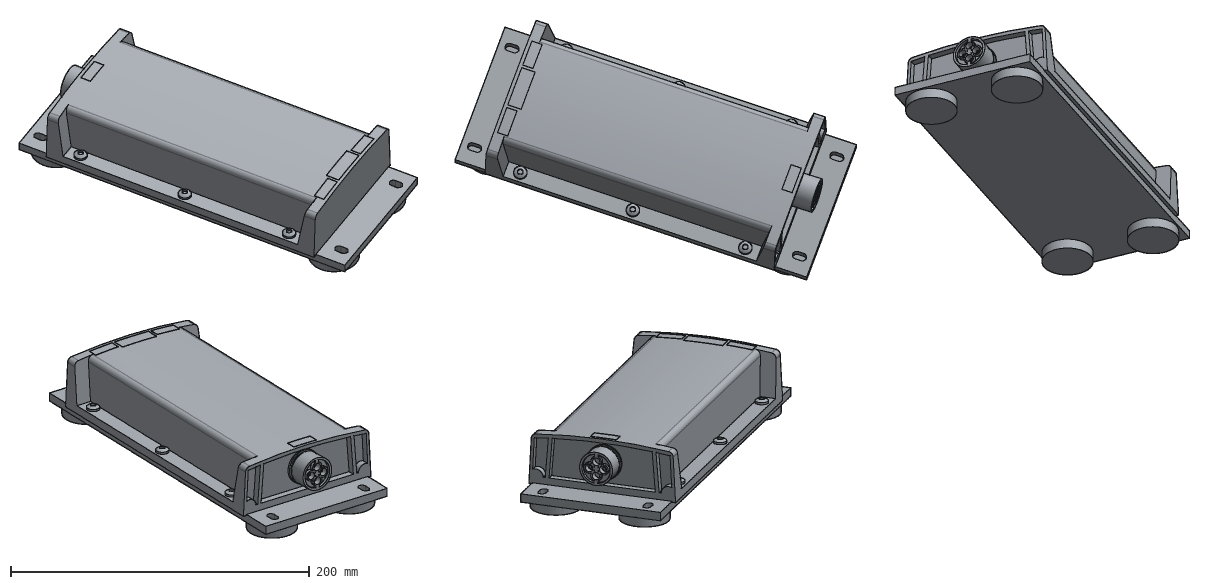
import cadquery as cq
import math

draft = 3.0
rib_draft = 4.5

plate_length = 250.0
plate_width = 100.0
plate_thickness = 6.0

foot_diameter = 34.5
foot_height = 7.0
foot_spacing_x = 213.0
foot_spacing_y = 63.5

slot_length = 9.5
slot_width = 5.5
slot_spacing_x = 231.0
slot_spacing_y = 75.0

body_length = 205.5
body_width = 105.0
total_height = 51.0
skirt_overlap = 0.8
flange_height = 5.8
crown_radius = 425.0
body_corner_radius = 3.8

core_width = 82.0
core_corner_radius = 4.2
end_wall_foot = 12.8
notch_draft = 9.3

pocket_depth = 5.0
pocket_top_wall = 2.8
pocket_side_wall = 2.5
middle_pocket_width = 76.0
side_pocket_inner = 40.8
corner_boss_radius = 5.2
corner_boss_y = 47.5

screw_pitch = 80.0
screw_row_y = 46.0
screw_head_diameter = 9.0
screw_rim_height = 1.5
screw_head_height = 3.2
screw_socket_diameter = 3.8
screw_socket_depth = 1.8

connector_diameter = 23.5
connector_height = 33.2
connector_reach = 11.8
connector_tilt = 2.5
collar_diameter = 24.5
collar_length = 1.8
groove_diameter = 22.0
groove_width = 1.2
mouth_diameter = 20.2
mouth_depth = 2.5
contact_circle_radius = 5.0
contact_sleeve_diameter = 7.5
contact_bore_diameter = 5.2
contact_bore_depth = 5.0
pin_diameter = 2.0
pin_recess = 2.5
key_width = 2.8

window_depth = 0.2
window_end_gap = 2.5
window_length = 7.2
window_width = 18.5
middle_window_length = 9.5
middle_window_width = 28.0
window_spacing_y = 50.5

plate_top = foot_height + plate_thickness
body_bottom = plate_top - skirt_overlap
ledge = body_bottom + flange_height
half_length = body_length / 2
clearance = 12.5


def taper(rise, angle):
    """Sideways shift of a wall sloped by angle over a rise."""
    return rise * math.tan(math.radians(angle))


def prism_x(points, x_start, length):
    """Extrude a closed (y, z) outline along +X."""
    return cq.Workplane("YZ", origin=(x_start, 0, 0)).polyline(points).close().extrude(length)


def cylinder_x(x_start, length, diameter, y=0.0, z=0.0):
    return cq.Workplane("YZ", origin=(x_start, y, z)).circle(diameter / 2).extrude(length)


def crown_cylinder(lowered=0.0):
    """Large cylinder along X whose top is the curved roof, optionally lowered."""
    radius = crown_radius - lowered
    return cylinder_x(-plate_length, 2 * plate_length, 2 * radius, z=total_height - crown_radius)


def crowned_block(width, length, bottom, corner_radius):
    """Tapered block under the curved roof, given its width at the bottom level."""
    top = total_height + clearance
    half = width / 2
    half_top = half - taper(top - bottom, draft)
    outline = [(-half, bottom), (half, bottom), (half_top, top), (-half_top, top)]
    block = prism_x(outline, -length / 2, length).intersect(crown_cylinder())
    return block.edges("|X").edges(">Z").fillet(corner_radius)


def base_plate():
    plate = cq.Workplane("XY", origin=(0, 0, foot_height)).box(
        plate_length, plate_width, plate_thickness, centered=(True, True, False)
    )
    slots = (
        cq.Workplane("XY", origin=(0, 0, foot_height))
        .rarray(slot_spacing_x, slot_spacing_y, 2, 2)
        .slot2D(slot_length, slot_width)
        .extrude(plate_thickness)
    )
    feet = (
        cq.Workplane("XY")
        .rarray(foot_spacing_x, foot_spacing_y, 2, 2)
        .circle(foot_diameter / 2)
        .extrude(foot_height)
    )
    return plate.cut(slots).union(feet)


def housing():
    outer = crowned_block(body_width, body_length, body_bottom, body_corner_radius)
    core = crowned_block(core_width, body_length, ledge, core_corner_radius)
    notch_top = total_height + clearance
    half_foot = half_length - end_wall_foot
    half_top = half_foot + taper(notch_top - ledge, notch_draft)
    notch = (
        cq.Workplane("XZ")
        .polyline([(-half_foot, ledge), (half_foot, ledge), (half_top, notch_top), (-half_top, notch_top)])
        .close()
        .extrude(body_width, both=True)
    )
    return outer.cut(notch.cut(core))


def end_pockets():
    """Middle pocket and two side pockets sunk into the -X end wall."""
    top = total_height + clearance
    rise = top - ledge
    lean = taper(rise, rib_draft)
    half = middle_pocket_width / 2
    inner = side_pocket_inner
    outer = body_width / 2 - pocket_side_wall
    middle = [(-half, ledge), (half, ledge), (half - lean, top), (lean - half, top)]
    side = [(inner, ledge), (outer, ledge), (outer - taper(rise, draft), top), (inner - lean, top)]
    side_pocket = prism_x(side, -half_length, pocket_depth).cut(
        cylinder_x(-half_length, pocket_depth, 2 * corner_boss_radius, corner_boss_y, ledge)
    )
    pockets = prism_x(middle, -half_length, pocket_depth).union(side_pocket).union(side_pocket.mirror("XZ"))
    return pockets.intersect(crown_cylinder(pocket_top_wall))


def roof_windows():
    """Shallow recesses in the roof that follow its curve."""
    edge = half_length - window_end_gap
    low = total_height / 2
    blanks = cq.Workplane("XY")
    for x, y, length, width in [
        (window_length / 2 - edge, 0, window_length, window_width),
        (edge - middle_window_length / 2, 0, middle_window_length, middle_window_width),
        (edge - window_length / 2, window_spacing_y / 2, window_length, window_width),
        (edge - window_length / 2, -window_spacing_y / 2, window_length, window_width),
    ]:
        blank = cq.Workplane("XY", origin=(x, y, low)).rect(length, width).extrude(total_height)
        blanks = blanks.union(blank)
    return blanks.cut(crown_cylinder(window_depth))


def screw_head():
    """Domed head with a round socket, standing on z = 0."""
    radius = screw_head_diameter / 2
    dome_height = screw_head_height - screw_rim_height
    dome_radius = (radius**2 + dome_height**2) / (2 * dome_height)
    dome_middle = math.sqrt(dome_radius**2 - (radius / 2) ** 2) - dome_radius + screw_head_height
    head = (
        cq.Workplane("XZ")
        .lineTo(radius, 0)
        .lineTo(radius, screw_rim_height)
        .threePointArc((radius / 2, dome_middle), (0, screw_head_height))
        .close()
        .revolve(360, (0, 0), (0, 1))
    )
    socket = (
        cq.Workplane("XY", origin=(0, 0, screw_head_height - screw_socket_depth))
        .circle(screw_socket_diameter / 2)
        .extrude(screw_socket_depth + clearance)
    )
    return head.cut(socket)


def connector():
    """Round connector along X, standing on the pocket floor and tilted upwards."""
    floor = pocket_depth - half_length
    tip = -half_length - connector_reach
    embed = 2.5
    root = floor + embed
    shell = cylinder_x(tip, root - tip, connector_diameter)
    groove_start = floor - collar_length - groove_width
    groove = cylinder_x(groove_start, groove_width, connector_diameter).cut(
        cylinder_x(groove_start, groove_width, groove_diameter)
    )
    collar = cylinder_x(floor - collar_length, collar_length + embed, collar_diameter)
    shell = shell.cut(groove).union(collar)

    mouth = cylinder_x(tip, mouth_depth, mouth_diameter)
    keys = cq.Workplane("XY", origin=(tip, 0, 0)).box(
        mouth_depth, key_width, mouth_diameter, centered=(False, True, True)
    )
    mouth = mouth.cut(keys)
    contacts = [
        (contact_circle_radius, 0),
        (-contact_circle_radius, 0),
        (0, contact_circle_radius),
        (0, -contact_circle_radius),
    ]
    for y, z in contacts:
        mouth = mouth.cut(cylinder_x(tip, mouth_depth, contact_sleeve_diameter, y, z))
    shell = shell.cut(mouth)

    pin_length = contact_bore_depth - pin_recess
    for y, z in contacts:
        shell = shell.cut(cylinder_x(tip, contact_bore_depth, contact_bore_diameter, y, z))
        if z == 0:
            shell = shell.union(cylinder_x(tip + pin_recess, pin_length, pin_diameter, y, z))
    tilted = shell.rotate((-half_length, 0, 0), (-half_length, 1, 0), connector_tilt)
    return tilted.translate((0, 0, connector_height))


body = housing().cut(end_pockets()).cut(roof_windows()).union(connector())
for column in (-1, 0, 1):
    for row in (-1, 1):
        position = (column * screw_pitch, row * screw_row_y, ledge)
        body = body.union(screw_head().translate(position))

result = base_plate().union(body)